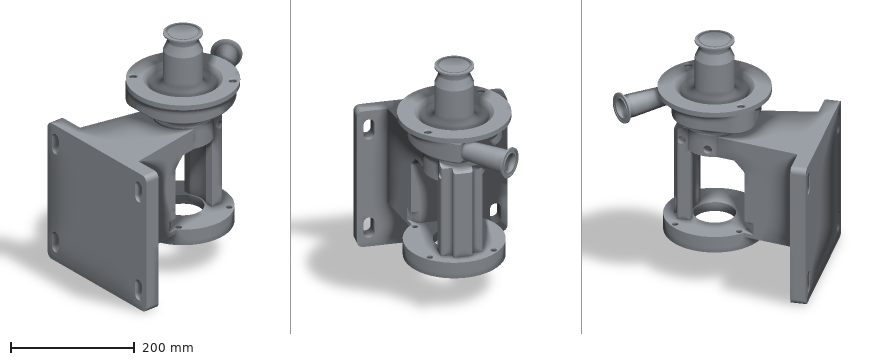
import cadquery as cq
import math


plate_side = 250.0
plate_thickness = 25.8
plate_back_y = -181.0
plate_front_y = plate_back_y + plate_thickness
plate_corner_radius = 10.0
slot_length = 37.0
slot_width = 17.7
slot_pitch_x = 210.5
slot_pitch_z = 180.5

hub_radius = 50.5
hub_bottom_z = 213.5
hub_top_z = 253.0
hub_bore_top_z = plate_side
hub_bore_radius = 38.0
side_hole_diameter = 14.5
side_hole_depth = 10.0
side_hole_z = 226.5

web_root_half_width = 74.0
web_tip_half_width = 48.0
web_tip_y = -math.sqrt(hub_radius**2 - web_tip_half_width**2)
web_bottom_z = 77.0
web_inner_y = -63.0
web_chamfer = 17.7
web_chamfer_blend = 8.0
notch_size = 15.7
notch_top_z = 105.5

ring_radius = 83.5
ring_bore_radius = 34.5
ring_bottom_z = 55.5
ring_top_z = 84.2
pilot_radius = 57.2
pilot_depth = 12.5
ring_hole_pitch = 106.5
ring_hole_diameter = 10.5

column_half_width = 35.0
column_inner_y = 32.0
column_outer_y = 55.2
rib_half_width = 16.0
rib_outer_y = 65.0
column_edge_radius = 4.5
column_bottom_z = ring_bottom_z + pilot_depth
column_top_z = hub_top_z
bevel_start_y = 44.7
bevel_end_z = 237.8
column_hole_diameter = 14.0
column_hole_y = 47.0
column_hole_z = 230.5

neck_radius = 41.5
neck_flare_radius = 46.7
neck_flare_z = 263.0

casing_bottom_z = 273.0
casing_radius = 75.8
casing_corner_radius = 34.3
casing_bottom_edge_radius = 4.0
volute_tip = (13.0, 96.7)

flange_radius = 92.5
flange_bottom_z = 309.0
flange_top_z = 318.0
recess_radius = 64.5
recess_chamfer = 7.3
core_bottom_z = 294.0
screw_offset = 57.2
screw_hole_diameter = 12.0
screw_hole_chamfer = 1.5
screw_hole_depth = 5.0
screw_point_angle = 118

inlet_radius = 32.2
inlet_cone_start_z = 372.0
inlet_cone_end_z = 388.5
inlet_top_z = 403.0
inlet_neck_radius = 25.5

outlet_angle = 45
outlet_offset = 57.5
outlet_end = 142.3
outlet_root = 32.2
outlet_straight = 20.0
outlet_radius = 19.5
outlet_root_radius = 14.5
outlet_wall = 3.0
outlet_bore_straight = 12.0
outlet_z = 290.0
outlet_ferrule_radius = 25.8
nozzle_face = 59.5
nozzle_inner_offset = 33.0

ferrule_rim = 3.0
ferrule_taper = 2.0
groove_width = 4.0
groove_depth = 1.2
groove_rim_gap = 3.5


def cylinder(radius, bottom_z, top_z):
    return cq.Workplane("XY").workplane(offset=bottom_z).circle(radius).extrude(top_z - bottom_z)


def box(x_range, y_range, z_range):
    sizes = [high - low for low, high in (x_range, y_range, z_range)]
    return cq.Workplane("XY").box(*sizes, centered=False).translate((x_range[0], y_range[0], z_range[0]))


def groove(ferrule_radius, face):
    """Gasket groove sunk into the end face of a ferrule that points along +Z."""
    outer = ferrule_radius - groove_rim_gap
    return cylinder(outer, face - groove_depth, face).cut(
        cylinder(outer - groove_width, face - groove_depth, face)
    )


def mounting_plate():
    plate = box(
        (-plate_side / 2, plate_side / 2), (plate_back_y, plate_front_y), (0, plate_side)
    ).edges("|Y").fillet(plate_corner_radius)
    slots = (
        cq.Workplane("XZ", origin=(0, plate_front_y, plate_side / 2))
        .rarray(slot_pitch_x, slot_pitch_z, 2, 2)
        .slot2D(slot_length, slot_width, 90)
        .extrude(plate_thickness)
    )
    return plate.cut(slots)


def web():
    plan = (
        cq.Workplane("XY")
        .moveTo(-web_root_half_width, plate_front_y)
        .lineTo(web_root_half_width, plate_front_y)
        .lineTo(web_tip_half_width, web_tip_y)
        .lineTo(-web_tip_half_width, web_tip_y)
        .close()
        .extrude(plate_side)
    )
    side = (
        cq.Workplane("YZ", origin=(-web_root_half_width, 0, 0))
        .moveTo(plate_front_y, web_bottom_z)
        .lineTo(web_inner_y, web_bottom_z)
        .lineTo(web_inner_y, hub_bottom_z - web_chamfer)
        .lineTo(web_inner_y + web_chamfer, hub_bottom_z)
        .lineTo(web_tip_y, hub_bottom_z)
        .lineTo(web_tip_y, plate_side)
        .lineTo(plate_front_y, plate_side)
        .close()
        .extrude(2 * web_root_half_width)
    )
    blend_corner = (0, web_inner_y, hub_bottom_z - web_chamfer)
    side = side.edges(cq.selectors.NearestToPointSelector(blend_corner)).fillet(web_chamfer_blend)
    body = plan.intersect(side)

    web_taper = (web_root_half_width - web_tip_half_width) / (web_tip_y - plate_front_y)
    cut_back_y = web_inner_y - notch_size
    cut_outer_x = web_tip_half_width + web_taper * (web_tip_y - cut_back_y)
    for side_sign in (-1, 1):
        notch = (
            cq.Workplane("XY")
            .workplane(offset=ring_top_z)
            .moveTo(side_sign * cut_outer_x, cut_back_y)
            .lineTo(side_sign * (cut_outer_x - notch_size), web_inner_y)
            .lineTo(side_sign * cut_outer_x, web_inner_y)
            .close()
            .extrude(notch_top_z - ring_top_z)
        )
        body = body.cut(notch)
    return body


def column():
    """Ribbed column with a sloping top, and the cross hole drilled through it and the hub."""
    wings = box(
        (-column_half_width, column_half_width),
        (column_inner_y, column_outer_y),
        (column_bottom_z, column_top_z),
    ).edges("|Z and >Y").fillet(column_edge_radius)
    rib = box(
        (-rib_half_width, rib_half_width),
        (column_inner_y, rib_outer_y),
        (column_bottom_z, column_top_z),
    ).edges("|Z and >Y").fillet(column_edge_radius)
    bevel = (
        cq.Workplane("YZ", origin=(-column_half_width, 0, 0))
        .moveTo(bevel_start_y, column_top_z)
        .lineTo(rib_outer_y, column_top_z)
        .lineTo(rib_outer_y, bevel_end_z)
        .close()
        .extrude(2 * column_half_width)
    )
    cross_hole = (
        cq.Workplane("YZ", origin=(-column_half_width, column_hole_y, column_hole_z))
        .circle(column_hole_diameter / 2)
        .extrude(2 * column_half_width)
    )
    return wings.union(rib).cut(bevel), cross_hole


def motor_ring():
    ring = cylinder(ring_radius, ring_bottom_z, ring_top_z)
    bolt_holes = (
        cq.Workplane("XY")
        .workplane(offset=ring_bottom_z)
        .rarray(ring_hole_pitch, ring_hole_pitch, 2, 2)
        .circle(ring_hole_diameter / 2)
        .extrude(ring_top_z - ring_bottom_z)
    )
    pilot = cylinder(pilot_radius, ring_bottom_z, ring_bottom_z + pilot_depth)
    return ring.cut(bolt_holes).cut(pilot)


def bracket():
    column_body, cross_hole = column()
    side_hole = (
        cq.Workplane("YZ", origin=(-hub_radius, 0, side_hole_z))
        .circle(side_hole_diameter / 2)
        .extrude(side_hole_depth)
    )
    body = (
        mounting_plate()
        .union(web())
        .union(cylinder(hub_radius, hub_bottom_z, hub_top_z))
        .union(column_body)
        .union(motor_ring())
    )
    return (
        body.cut(cylinder(hub_bore_radius, ring_top_z, hub_bore_top_z))
        .cut(cylinder(ring_bore_radius, ring_bottom_z, ring_top_z))
        .cut(cross_hole)
        .cut(side_hole)
    )


def along_outlet(distance, offset):
    """Plan point at a distance along the outlet and an offset from the pump axis."""
    angle = math.radians(outlet_angle)
    x = offset * math.cos(angle) - distance * math.sin(angle)
    y = offset * math.sin(angle) + distance * math.cos(angle)
    return x, y


def casing():
    """Volute body, opened at the top for the core under the flange."""
    nozzle_inner = along_outlet(nozzle_face, nozzle_inner_offset)
    diagonal = casing_radius * math.sqrt(0.5)
    corner_tangent = casing_corner_radius - casing_radius
    corner_mid = corner_tangent - casing_corner_radius * math.sqrt(0.5)
    return (
        cq.Workplane("XY")
        .workplane(offset=casing_bottom_z)
        .moveTo(corner_tangent, -casing_radius)
        .lineTo(0, -casing_radius)
        .threePointArc((diagonal, -diagonal), (casing_radius, 0))
        .tangentArcPoint(volute_tip, relative=False)
        .lineTo(*nozzle_inner)
        .threePointArc((-diagonal, diagonal), (-casing_radius, 0))
        .lineTo(-casing_radius, corner_tangent)
        .threePointArc((corner_mid, corner_mid), (corner_tangent, -casing_radius))
        .close()
        .extrude(flange_bottom_z - casing_bottom_z)
        .faces("<Z")
        .edges()
        .fillet(casing_bottom_edge_radius)
        .cut(cylinder(recess_radius, core_bottom_z, flange_bottom_z))
    )


def neck():
    return (
        cq.Workplane("XZ")
        .moveTo(0, hub_top_z)
        .lineTo(neck_radius, hub_top_z)
        .lineTo(neck_radius, neck_flare_z)
        .tangentArcPoint((neck_flare_radius, casing_bottom_z), relative=False)
        .lineTo(0, casing_bottom_z)
        .close()
        .revolve(360, (0, 0), (0, 1))
    )


def flange_and_inlet():
    """Casing flange, closed inlet tube and the core holding the dished recess, as one turned profile."""
    floor_radius = recess_radius - recess_chamfer
    floor_z = flange_top_z - recess_chamfer
    rim_z = inlet_top_z - ferrule_rim
    turned = (
        cq.Workplane("XZ")
        .moveTo(0, inlet_top_z)
        .lineTo(inlet_radius, inlet_top_z)
        .lineTo(inlet_radius, rim_z)
        .lineTo(inlet_neck_radius, rim_z - ferrule_taper)
        .lineTo(inlet_neck_radius, inlet_cone_end_z)
        .lineTo(inlet_radius, inlet_cone_start_z)
        .lineTo(inlet_radius, flange_top_z)
        .tangentArcPoint((floor_radius, floor_z), relative=False)
        .lineTo(recess_radius, flange_top_z)
        .lineTo(flange_radius, flange_top_z)
        .lineTo(flange_radius, flange_bottom_z)
        .lineTo(recess_radius, flange_bottom_z)
        .lineTo(recess_radius, core_bottom_z)
        .lineTo(0, core_bottom_z)
        .close()
        .revolve(360, (0, 0), (0, 1))
    )
    return turned.cut(groove(inlet_radius, inlet_top_z))


def screw_holes():
    """Two blind drilled holes, opposite each other on the flange diagonal."""
    radius = screw_hole_diameter / 2
    point_depth = radius / math.tan(math.radians(screw_point_angle / 2))
    drill = (
        cq.Workplane("XZ")
        .moveTo(0, flange_top_z)
        .lineTo(radius + screw_hole_chamfer, flange_top_z)
        .lineTo(radius, flange_top_z - screw_hole_chamfer)
        .lineTo(radius, flange_top_z - screw_hole_depth)
        .lineTo(0, flange_top_z - screw_hole_depth - point_depth)
        .close()
        .revolve(360, (0, 0), (0, 1))
    )
    first = drill.translate((screw_offset, screw_offset, 0))
    return first.union(drill.translate((-screw_offset, -screw_offset, 0)))


def place_outlet(shape):
    """Lay a shape built along +Z onto the outlet axis."""
    return (
        shape.rotate((0, 0, 0), (1, 0, 0), -90)
        .translate((outlet_offset, 0, outlet_z))
        .rotate((0, 0, 0), (0, 0, 1), outlet_angle)
    )


def outlet_tube():
    rim = outlet_end - ferrule_rim
    taper_end = outlet_end - outlet_straight
    tube = (
        cq.Workplane("XZ")
        .moveTo(0, outlet_root)
        .lineTo(outlet_root_radius, outlet_root)
        .lineTo(outlet_radius, taper_end)
        .lineTo(outlet_radius, rim - ferrule_taper)
        .lineTo(outlet_ferrule_radius, rim)
        .lineTo(outlet_ferrule_radius, outlet_end)
        .lineTo(0, outlet_end)
        .close()
        .revolve(360, (0, 0), (0, 1))
    )
    return place_outlet(tube.cut(groove(outlet_ferrule_radius, outlet_end)))


def outlet_bore():
    taper_end = outlet_end - outlet_bore_straight
    bore = (
        cq.Workplane("XZ")
        .moveTo(0, nozzle_face)
        .lineTo(outlet_root_radius - outlet_wall, nozzle_face)
        .lineTo(outlet_radius - outlet_wall, taper_end)
        .lineTo(outlet_radius - outlet_wall, outlet_end)
        .lineTo(0, outlet_end)
        .close()
        .revolve(360, (0, 0), (0, 1))
    )
    return place_outlet(bore)


pump = casing().union(flange_and_inlet()).union(neck()).union(outlet_tube())
pump = pump.cut(outlet_bore()).cut(screw_holes())
result = bracket().union(pump).solids()